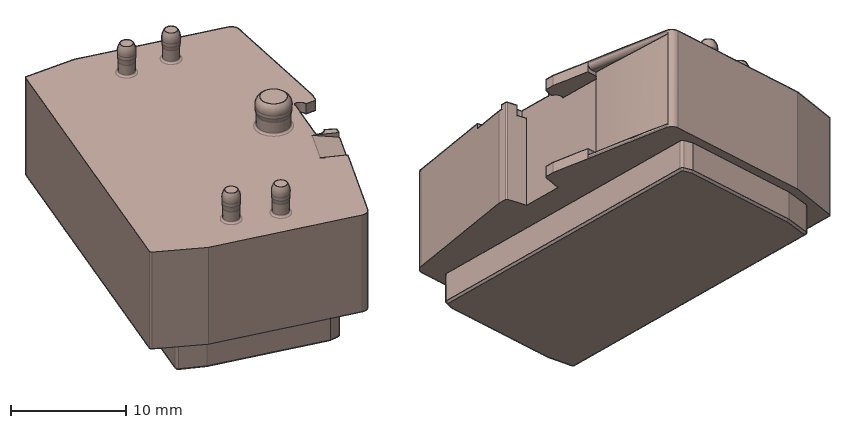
import cadquery as cq
import math

width = 32.2
depth = 22.2
body_height = 10.0
half_width = width / 2
back_y = depth / 2
front_y = -depth / 2
front_half_width = 15.0
taper_y = -6.1
roof_angle = 10.0
roof_slope = math.tan(math.radians(roof_angle))
crest_half_width = 3.4
shoulder_y = back_y - (half_width - crest_half_width) * roof_slope
shoulder_radius = 0.8
front_corner_radius = 0.2

notch_floor_y = 9.13
notch_floor_half_width = 1.97
notch_lip_half_width = 2.45
notch_lip_radius = 0.15
relief_radius = 0.62
relief_depth = 1.05
relief_x = 2.05
relief_y = 9.45

pocket_outer_x = -15.6
pocket_inner_x = -7.1
pocket_outer_y = 8.9
pocket_inner_y = 9.45
pocket_margin = 0.65
pocket_lip_radius = 0.5
passage_margin = relief_depth

ramp_start_x = 3.1
ramp_width = 3.65
ramp_length = 2.45
ramp_drop = 0.5

plinth_height = 3.0
plinth_half_width = 15.24
plinth_front_half_width = 14.75
plinth_front_y = -8.6
plinth_back_y = 6.62
plinth_taper_y = -5.88
plinth_rear_taper_y = 5.6
plinth_back_half_width = 14.9
plinth_corner_radius = 0.3
plinth_chamfer = 0.2

pin_height = 3.0
ring_top = 2.02
ring_bottom = 1.7
foot_radius = 0.2
dome_bulge = 0.7
large_pin_y = 6.2
large_shaft, large_ring, large_tip = 3.05, 3.22, 2.4
small_shaft, small_ring, small_tip = 1.5, 1.62, 1.15
rear_pin_x, rear_pin_y = 13.16, 1.77
front_pin_x, front_pin_y = 12.54, -2.6
rear_shaft_height = 1.3
front_shaft_height = 1.18


def roof_y(x):
    """Y of the sloped back faces at a given x, before rounding."""
    return shoulder_y + (half_width - abs(x)) * roof_slope


def mirrored_outline(right_side):
    """Closed outline from its right-hand points, listed front to back."""
    left_side = [(-x, y) for x, y in reversed(right_side)]
    return cq.Workplane("XY").polyline(right_side + left_side).close()


def round_uprights(solid, points, radius, height):
    """Round the upright edges at the given (x, y) points, on both sides of the YZ plane."""
    tolerance = 0.01
    for x, y in points:
        for side_x in (-x, x):
            corner = cq.selectors.BoxSelector(
                (side_x - tolerance, y - tolerance, -height),
                (side_x + tolerance, y + tolerance, height),
            )
            solid = solid.edges("|Z").edges(corner).fillet(radius)
    return solid


def make_housing():
    front_corner = (front_half_width, front_y)
    shoulder = (half_width, shoulder_y)
    notch_lip = (notch_lip_half_width, back_y)
    outline = mirrored_outline([
        front_corner,
        (half_width, taper_y),
        shoulder,
        (crest_half_width, back_y),
        notch_lip,
        (notch_floor_half_width, notch_floor_y),
    ])
    housing = outline.extrude(body_height)
    housing = round_uprights(housing, [front_corner], front_corner_radius, body_height)
    housing = round_uprights(housing, [shoulder], shoulder_radius, body_height)
    return round_uprights(housing, [notch_lip], notch_lip_radius, body_height)


def make_reliefs():
    """Shallow rounded reliefs in the top face at the two notch floor corners."""
    return (
        cq.Workplane("XY", origin=(0, 0, body_height - relief_depth))
        .pushPoints([(-relief_x, relief_y), (relief_x, relief_y)])
        .circle(relief_radius)
        .extrude(relief_depth)
        .intersect(
            cq.Workplane("XY")
            .box(width, depth, body_height, centered=(True, False, False))
            .translate((0, notch_floor_y, 0))
        )
    )


def extrude_pocket_plan(start_z, height):
    """Extrude the plan of the label pocket, whose floor curves down towards the side."""
    floor_mid = (
        (pocket_outer_x + pocket_inner_x) / 2,
        pocket_inner_y - (pocket_inner_y - pocket_outer_y) / 4,
    )
    return (
        cq.Workplane("XY", origin=(0, 0, start_z))
        .moveTo(pocket_outer_x, pocket_outer_y)
        .threePointArc(floor_mid, (pocket_inner_x, pocket_inner_y))
        .lineTo(pocket_inner_x, back_y)
        .lineTo(pocket_outer_x, back_y)
        .close()
        .extrude(height)
    )


def make_label_pocket():
    """Pocket with rounded lips in the left back face and a narrower passage into the notch."""
    pocket = extrude_pocket_plan(pocket_margin, body_height - 2 * pocket_margin)
    rim_z = pocket_margin - pocket_lip_radius
    arc_mid_depth = pocket_lip_radius * (1 - math.sqrt(0.5))
    arc_mid_z = rim_z + pocket_lip_radius * math.sqrt(0.5)
    lip_overrun = 2 * pocket_lip_radius
    lip_run = pocket_inner_x - pocket_outer_x + lip_overrun
    lips = (
        cq.Workplane("YZ")
        .moveTo(-pocket_lip_radius, pocket_margin)
        .threePointArc((-arc_mid_depth, arc_mid_z), (0, rim_z))
        .lineTo(0, body_height - rim_z)
        .threePointArc(
            (-arc_mid_depth, body_height - arc_mid_z),
            (-pocket_lip_radius, body_height - pocket_margin),
        )
        .close()
        .extrude(lip_run)
        .rotate((0, 0, 0), (0, 0, 1), roof_angle)
        .translate((pocket_outer_x, roof_y(pocket_outer_x), 0))
    )
    passage = (
        cq.Workplane("XY", origin=(pocket_inner_x, notch_floor_y, passage_margin))
        .box(-pocket_inner_x, depth, body_height - 2 * passage_margin, centered=False)
    )
    return pocket.union(lips.intersect(extrude_pocket_plan(0, body_height))).union(passage)


def make_ramp():
    """Wedge that falls towards the right back face."""
    return (
        cq.Workplane("YZ")
        .polyline([(-ramp_length, 0), (0, -ramp_drop), (ramp_length, -2 * ramp_drop), (ramp_length, 0)])
        .close()
        .extrude(ramp_width)
        .rotate((0, 0, 0), (0, 0, 1), -roof_angle)
        .translate((ramp_start_x, roof_y(ramp_start_x), body_height))
    )


def make_plinth():
    front_corner = (plinth_front_half_width, plinth_front_y)
    back_corner = (plinth_back_half_width, plinth_back_y)
    outline = mirrored_outline([
        front_corner,
        (plinth_half_width, plinth_taper_y),
        (plinth_half_width, plinth_rear_taper_y),
        back_corner,
    ])
    plinth = outline.extrude(-plinth_height)
    plinth = round_uprights(
        plinth, [front_corner, back_corner], plinth_corner_radius, plinth_height
    )
    return plinth.faces("<Z").chamfer(plinth_chamfer)


def make_pin(x, y, shaft, ring, tip, shaft_height):
    """Pin with a flared foot, a raised ring and a domed tip."""
    shaft_r, ring_r, tip_r = shaft / 2, ring / 2, tip / 2
    dome_mid = (
        tip_r + (ring_r - tip_r) * dome_bulge,
        ring_top + (pin_height - ring_top) * dome_bulge,
    )
    foot_mid = foot_radius * (1 - math.sqrt(0.5))
    profile = (
        cq.Workplane("XZ")
        .moveTo(0, 0)
        .lineTo(shaft_r + foot_radius, 0)
        .threePointArc((shaft_r + foot_mid, foot_mid), (shaft_r, foot_radius))
        .lineTo(shaft_r, shaft_height)
        .lineTo(ring_r, ring_bottom)
        .lineTo(ring_r, ring_top)
        .threePointArc(dome_mid, (tip_r, pin_height))
        .lineTo(0, pin_height)
        .close()
    )
    return profile.revolve(360, (0, 0, 0), (0, 1, 0)).translate((x, y, body_height))


result = make_housing().cut(make_reliefs()).cut(make_label_pocket()).cut(make_ramp())
result = result.union(make_plinth())
result = result.union(
    make_pin(0, large_pin_y, large_shaft, large_ring, large_tip, rear_shaft_height)
)
for side in (-1, 1):
    result = result.union(make_pin(
        side * rear_pin_x, rear_pin_y, small_shaft, small_ring, small_tip, rear_shaft_height
    ))
    result = result.union(make_pin(
        side * front_pin_x, front_pin_y, small_shaft, small_ring, small_tip, front_shaft_height
    ))